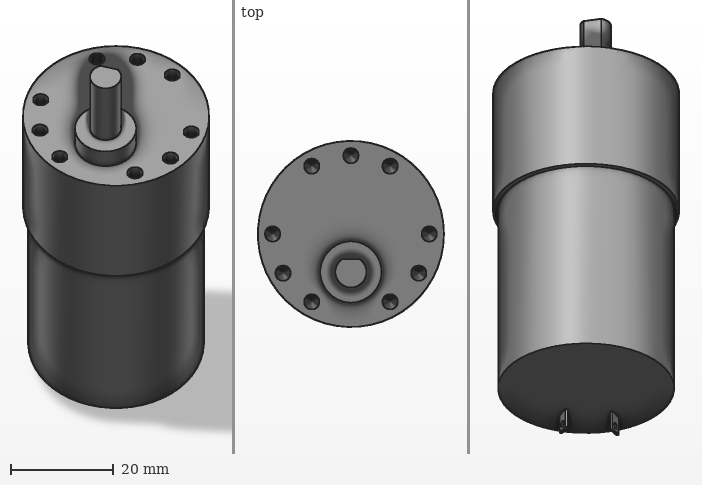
import cadquery as cq
import math

terminal_length = 4.1
motor_length = 40.1
gearbox_length = 26.6
boss_height = 4.3
shaft_length = 15.3

motor_diameter = 34.3
gearbox_diameter = 36.3
boss_diameter = 11.9
shaft_diameter = 6.05
shaft_flat_distance = 2.4
shaft_offset = 7.4

hole_circle_radius = 15.3
hole_diameter = 3.0
hole_depth = 5.0
drill_tip_angle = 118
hole_angles = [0, 60, 90, 120, 180, 210, 240, 300, 330]

terminal_width = 2.5
terminal_thickness = 0.45
terminal_hole_diameter = 1.2
terminal_hole_height = 1.4
terminal_embed = 0.45
terminals = [
    (-2.9, -11.0, -14),
    (6.5, -7.8, 40),
]

motor_bottom = terminal_length
gearbox_bottom = motor_bottom + motor_length
gearbox_top = gearbox_bottom + gearbox_length
boss_top = gearbox_top + boss_height


def cylinder(diameter, height, bottom, y=0):
    return cq.Workplane("XY", origin=(0, y, bottom)).circle(diameter / 2).extrude(height)


def output_shaft():
    """Round shaft with a full-length flat on its +Y side."""
    shaft = cylinder(shaft_diameter, shaft_length, boss_top, -shaft_offset)
    flat_centre_y = -shaft_offset + shaft_flat_distance + shaft_diameter / 2
    flat_cutter = (
        cq.Workplane("XY", origin=(0, flat_centre_y, boss_top))
        .rect(2 * shaft_diameter, shaft_diameter)
        .extrude(shaft_length)
    )
    return shaft.cut(flat_cutter)


def mounting_hole(angle):
    """Drill-shaped cutter with a conical bottom."""
    radius = hole_diameter / 2
    tip_depth = radius / math.tan(math.radians(drill_tip_angle / 2))
    drill = (
        cq.Workplane("XZ")
        .polyline([(0, 0), (radius, 0), (radius, -hole_depth), (0, -hole_depth - tip_depth)])
        .close()
        .revolve(360, (0, 0), (0, 1))
    )
    return drill.translate((hole_circle_radius, 0, gearbox_top)).rotate((0, 0, 0), (0, 0, 1), angle)


def terminal(x, y, rotation):
    """Thin upright plate with a wire hole near its tip."""
    plate = (
        cq.Workplane("XY")
        .rect(terminal_thickness, terminal_width)
        .extrude(terminal_length + terminal_embed)
    )
    wire_hole = (
        cq.Workplane("YZ")
        .center(0, terminal_hole_height)
        .circle(terminal_hole_diameter / 2)
        .extrude(terminal_thickness, both=True)
    )
    return plate.cut(wire_hole).rotate((0, 0, 0), (0, 0, 1), rotation).translate((x, y, 0))


result = cylinder(motor_diameter, motor_length, motor_bottom)
result = result.union(cylinder(gearbox_diameter, gearbox_length, gearbox_bottom))
result = result.union(cylinder(boss_diameter, boss_height, gearbox_top, -shaft_offset))
result = result.union(output_shaft())

for hole_angle in hole_angles:
    result = result.cut(mounting_hole(hole_angle))

for centre_x, centre_y, plate_rotation in terminals:
    result = result.union(terminal(centre_x, centre_y, plate_rotation))